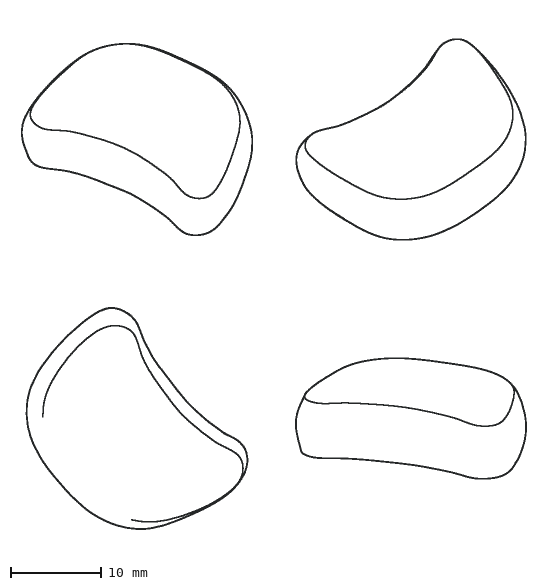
import cadquery as cq


TOP_HEIGHT, TOP_SLOPE, TOP_ROLL = 3.48, 0.04, -0.011
UPPER_HEIGHT, UPPER_SLOPE, UPPER_ROLL = 1.53, 0.05, 0.0
LOWER_HEIGHT, LOWER_SLOPE, LOWER_ROLL = -1.27, -0.06, 0.0
BOTTOM_HEIGHT, BOTTOM_SLOPE, BOTTOM_ROLL = -3.38, -0.055, 0.0

SIDE_LEAN = -0.012
WIDEST_Y = -4.58

TOP_HALF = [
    (0, -5.75),
    (4.58, -6.3),
    (7.12, -7.05),
    (9.4, -7.88),
    (11.1, -7.2),
    (11.6, -4.9),
    (10.8, -0.13),
    (9.4, 3.81),
    (5.72, 6.87),
    (0, 7.58),
]
UPPER_HALF = [
    (0, -6.75),
    (4.58, -7.25),
    (7.12, -7.93),
    (9.8, -8.77),
    (11.82, -7.63),
    (12.45, -4.58),
    (11.7, 0.5),
    (10.05, 4.58),
    (6.1, 7.8),
    (0, 8.65),
]
LOWER_HALF = [
    (0, -7.7),
    (4.58, -7.99),
    (7.12, -8.5),
    (9.8, -9.05),
    (11.65, -7.95),
    (12.7, -4.58),
    (11.95, 0.5),
    (10.17, 5.14),
    (6.1, 8.21),
    (0, 9.08),
]
BOTTOM_HALF = [
    (0, -6.87),
    (4.58, -7.27),
    (7.12, -7.93),
    (9.66, -8.65),
    (11.32, -7.63),
    (12.05, -4.58),
    (11.2, 0),
    (9.15, 3.95),
    (5.6, 6.35),
    (0, 7.17),
]


def level_outline(half, height, slope, roll):
    """Closed smooth outline of one level, lying in a leaning plane."""
    mirrored = [(-x, y) for x, y in reversed(half[1:-1])]
    points = []
    for centred_x, y in half + mirrored:
        x = centred_x + SIDE_LEAN * (y - WIDEST_Y)
        points.append(cq.Vector(x, y, height + slope * y + roll * x))
    return cq.Wire.assembleEdges([cq.Edge.makeSpline(points, periodic=True)])


levels = [
    level_outline(BOTTOM_HALF, BOTTOM_HEIGHT, BOTTOM_SLOPE, BOTTOM_ROLL),
    level_outline(LOWER_HALF, LOWER_HEIGHT, LOWER_SLOPE, LOWER_ROLL),
    level_outline(UPPER_HALF, UPPER_HEIGHT, UPPER_SLOPE, UPPER_ROLL),
    level_outline(TOP_HALF, TOP_HEIGHT, TOP_SLOPE, TOP_ROLL),
]
pad = cq.occ_impl.shapes.loft(levels, cap=True, parametrization="chordal", compat=False)
result = cq.Workplane(pad)